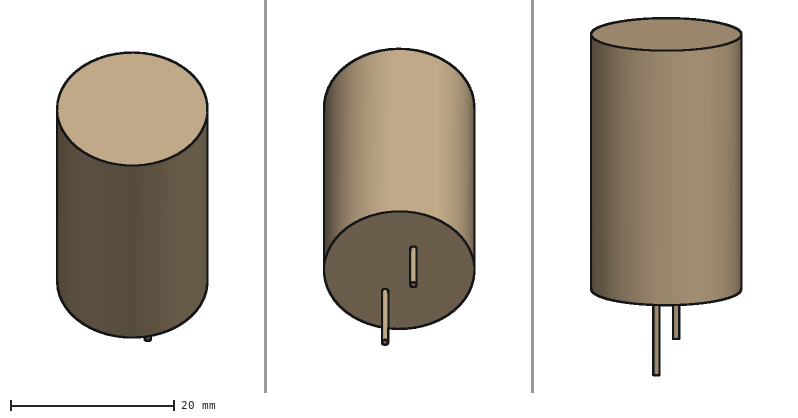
import cadquery as cq

total_height = 42.0
can_diameter = 18.5
long_lead_length = 10.0
can_height = total_height - long_lead_length

short_lead_length = 7.0
lead_diameter = 0.8
lead_spacing = 7.5


def make_can():
    """Plain cylindrical can standing on the plane Z = 0."""
    return cq.Workplane("XY").circle(can_diameter / 2).extrude(can_height)


def make_lead(x, length):
    """Round lead hanging from the underside of the can."""
    return cq.Workplane("XY").center(x, 0).circle(lead_diameter / 2).extrude(-length)


can = make_can()

lead_layout = [
    (-lead_spacing / 2, long_lead_length),
    (lead_spacing / 2, short_lead_length),
]
leads = [make_lead(x, length).val() for x, length in lead_layout]

result = cq.Compound.makeCompound([can.val(), *leads])